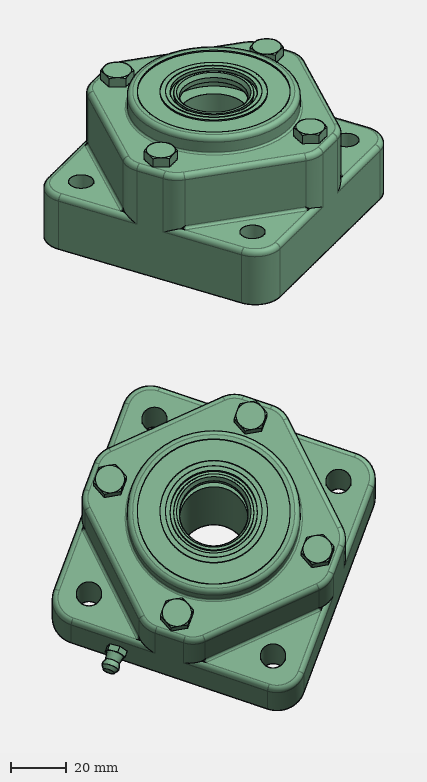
import cadquery as cq
import math

housing_width = 95.0
half_width = housing_width / 2
flange_height = 22.5
body_height = 45.0
diagonal_face_distance = 40.4
vertical_corner_radius = 10.2
top_edge_radius = 2.1
foot_fillet_radius = 1.0

mount_hole_offset = 34.9
mount_hole_diameter = 9.0

overall_height = 52.0
cover_radius = 31.0
cover_edge_radius = 2.0
cover_foot_radius = 0.7
cover_recess_radius = 27.4
cover_recess_depth = 0.5

seal_outer_radius = 19.2
seal_lip_radius = 17.3
seal_lip_depth = 0.2
gap_outer_radius = 15.6
gap_inner_radius = 14.4
gap_depth = 1.6
bearing_ring_top = 51.5
bearing_ring_bottom = 48.0
bearing_chamfer_radial = 1.0
bearing_chamfer_height = 1.6
bore_radius = 12.3
chamber_radius = 17.5
chamber_floor = 43.1

bolt_circle_radius = 39.4
bolt_across_flats = 10.4
bolt_head_top = 49.0
bolt_chamfer_angle = 30.0

nipple_x = 19.8
nipple_z = 11.0
overall_depth = 104.0
nipple_length = overall_depth - housing_width
nipple_hex_length = 2.3
nipple_hex_corner_radius = 4.0
nipple_hex_rotation = 15.0
nipple_base_radius = 3.2
nipple_neck_radius = 2.6
nipple_neck_position = 5.3
nipple_head_radius = 3.1
nipple_head_middle = 6.5
nipple_head_end = 7.6
nipple_tip_radius = 2.1


def make_flange():
    return (
        cq.Workplane("XY")
        .rect(housing_width, housing_width)
        .extrude(flange_height)
        .edges("|Z")
        .fillet(vertical_corner_radius)
        .faces(">Z")
        .edges()
        .fillet(top_edge_radius)
    )


def make_octagon(height):
    """Square prism with its four corners cut off at 45 degrees and its upright edges rounded."""
    diamond_side = 2 * diagonal_face_distance
    diamond = (
        cq.Workplane("XY")
        .rect(diamond_side, diamond_side)
        .extrude(height)
        .rotate((0, 0, 0), (0, 0, 1), 45)
    )
    return (
        cq.Workplane("XY")
        .rect(housing_width, housing_width)
        .extrude(height)
        .intersect(diamond)
        .edges("|Z")
        .fillet(vertical_corner_radius)
    )


def make_body():
    return make_octagon(body_height).faces(">Z").edges().fillet(top_edge_radius)


def make_foot_fillets():
    """Concave fillets where the diagonal walls stand on the flat flange corners."""
    plate_width = 2 * housing_width
    flared = (
        cq.Workplane("XY")
        .rect(plate_width, plate_width)
        .extrude(flange_height)
        .union(make_octagon(body_height))
        .faces("|Z")
        .faces(cq.selectors.NearestToPointSelector((0, 0, flange_height)))
        .edges("not(<X or >X or <Y or >Y)")
        .fillet(foot_fillet_radius)
    )
    flat_width = housing_width - 2 * top_edge_radius
    trim = (
        cq.Workplane("XY")
        .workplane(offset=flange_height)
        .rect(flat_width, flat_width)
        .extrude(foot_fillet_radius, taper=45)
    )
    return flared.intersect(trim)


def make_cover():
    """Disc with a rounded rim and a concave fillet where it meets the body."""
    rim_start = overall_height - cover_edge_radius
    arc = math.sqrt(0.5)
    rim_middle = (
        cover_radius - cover_edge_radius * (1 - arc),
        overall_height - cover_edge_radius * (1 - arc),
    )
    foot_middle = (
        cover_radius + cover_foot_radius * (1 - arc),
        body_height + cover_foot_radius * (1 - arc),
    )
    return (
        cq.Workplane("XZ")
        .moveTo(0, chamber_floor)
        .lineTo(cover_radius + cover_foot_radius, chamber_floor)
        .lineTo(cover_radius + cover_foot_radius, body_height)
        .threePointArc(foot_middle, (cover_radius, body_height + cover_foot_radius))
        .lineTo(cover_radius, rim_start)
        .threePointArc(rim_middle, (cover_radius - cover_edge_radius, overall_height))
        .lineTo(0, overall_height)
        .close()
        .revolve(360, (0, 0, 0), (0, 1, 0))
    )


def cut_face_steps(solid):
    """Shallow recess, lip and clearance gap in the top face of the cover."""

    def ring(outer, inner, bottom):
        height = overall_height - bottom
        return cq.Workplane("XY").workplane(offset=bottom).circle(outer).circle(inner).extrude(height)

    recess = ring(cover_recess_radius, seal_outer_radius, overall_height - cover_recess_depth)
    lip = ring(seal_lip_radius, bore_radius, overall_height - seal_lip_depth)
    gap = ring(gap_outer_radius, gap_inner_radius, overall_height - gap_depth)
    ring_face = ring(gap_outer_radius, bore_radius, bearing_ring_top)
    return solid.cut(recess).cut(lip).cut(gap).cut(ring_face)


def cut_bore(solid):
    """Through bore with a lead-in cone and a wider chamber below the bearing ring."""
    cone_base = bearing_ring_top - bearing_chamfer_height
    cone_radius = bore_radius + bearing_chamfer_radial
    bore = (
        cq.Workplane("XZ")
        .polyline(
            [
                (0, 0),
                (bore_radius, 0),
                (bore_radius, chamber_floor),
                (chamber_radius, chamber_floor),
                (chamber_radius, bearing_ring_bottom),
                (bore_radius, bearing_ring_bottom),
                (bore_radius, cone_base),
                (cone_radius, bearing_ring_top),
                (cone_radius, overall_height),
                (0, overall_height),
            ]
        )
        .close()
        .revolve(360, (0, 0, 0), (0, 1, 0))
    )
    return solid.cut(bore)


def make_mount_holes():
    spacing = 2 * mount_hole_offset
    return (
        cq.Workplane("XY")
        .rect(spacing, spacing, forConstruction=True)
        .vertices()
        .circle(mount_hole_diameter / 2)
        .extrude(flange_height)
    )


def make_bolt_head():
    """Hexagon with two flats facing along X and its top corners bevelled."""
    corner_radius = bolt_across_flats / math.sqrt(3)
    flat_radius = bolt_across_flats / 2
    bevel_drop = (corner_radius - flat_radius) * math.tan(math.radians(bolt_chamfer_angle))
    head_height = bolt_head_top - body_height
    bevel = (
        cq.Workplane("XZ")
        .polyline(
            [
                (0, 0),
                (corner_radius, 0),
                (corner_radius, head_height - bevel_drop),
                (flat_radius, head_height),
                (0, head_height),
            ]
        )
        .close()
        .revolve(360, (0, 0, 0), (0, 1, 0))
    )
    return (
        cq.Workplane("XY")
        .polygon(6, 2 * corner_radius)
        .extrude(head_height)
        .rotate((0, 0, 0), (0, 0, 1), 30)
        .intersect(bevel)
        .translate((0, 0, body_height))
    )


def make_nipple():
    """Grease nipple built along +Z, then laid over to point along +Y."""
    hexagon = (
        cq.Workplane("XY")
        .polygon(6, 2 * nipple_hex_corner_radius)
        .extrude(nipple_hex_length)
        .rotate((0, 0, 0), (0, 0, 1), nipple_hex_rotation)
    )
    stem = (
        cq.Workplane("XZ")
        .lineTo(nipple_base_radius, 0)
        .lineTo(nipple_base_radius, nipple_hex_length)
        .lineTo(nipple_neck_radius, nipple_neck_position)
        .threePointArc(
            (nipple_head_radius, nipple_head_middle),
            (nipple_head_radius, nipple_head_end),
        )
        .lineTo(nipple_tip_radius, nipple_length)
        .lineTo(0, nipple_length)
        .close()
        .revolve(360, (0, 0, 0), (0, 1, 0))
    )
    return (
        hexagon.union(stem)
        .rotate((0, 0, 0), (1, 0, 0), -90)
        .translate((nipple_x, half_width, nipple_z))
    )


result = make_flange().union(make_body()).union(make_foot_fillets()).union(make_cover())
result = cut_face_steps(result)
result = cut_bore(result)
result = result.cut(make_mount_holes())

bolt_head = make_bolt_head()
for x_side, y_side in ((1, 0), (0, 1), (-1, 0), (0, -1)):
    position = (bolt_circle_radius * x_side, bolt_circle_radius * y_side, 0)
    result = result.union(bolt_head.translate(position))

result = result.union(make_nipple())